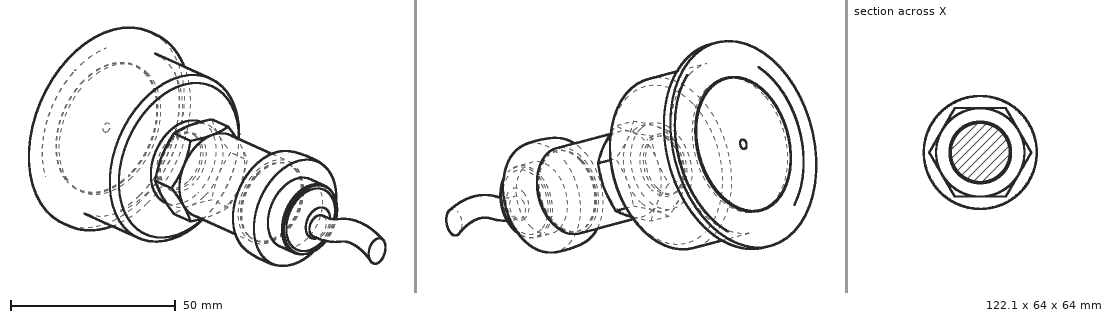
import cadquery as cq
import math


FLANGE_RADIUS = 32.0
FLANGE_RIM_END = 2.9
FLANGE_CONE_ANGLE = 20.0
FLANGE_RIM_FILLET = 0.7
FLANGE_ROOT_FILLET = 0.5
HOUSING_RADIUS = 26.6
HOUSING_END = 32.6
HOUSING_CHAMFER = 2.0

GASKET_GROOVE_RADIUS = 28.2
GASKET_TROUGH_HALF_WIDTH = 1.2
GASKET_LIP_WIDTH = 1.0
GASKET_WALL_ANGLE = 60.0

DIAPHRAGM_RADIUS = 20.9
DIAPHRAGM_THICKNESS = 1.5
DIAPHRAGM_RIM_CHAMFER = 0.2
CORRUGATION_COUNT = 4
FIRST_CORRUGATION_RADIUS = 7.6
LAST_CORRUGATION_RADIUS = 18.8
CORRUGATION_PITCH = (LAST_CORRUGATION_RADIUS - FIRST_CORRUGATION_RADIUS) / (CORRUGATION_COUNT - 1)
CORRUGATION_TROUGH_HALF_WIDTH = 1.0
CORRUGATION_LIP_WIDTH = 0.4
CORRUGATION_WALL_ANGLE = 30.0
DIMPLE_RADIUS = 1.5
DIMPLE_DEPTH = 0.4

NECK_RADIUS = 9.0
NECK_FLARE_RADIUS = 9.4
NECK_FLARE_START = 33.6
BODY_START = 34.7
BODY_RADIUS = 13.4
BODY_END = 74.1
HEX_START = 37.7
HEX_END = 47.6
HEX_CORNER_RADIUS = BODY_RADIUS / math.cos(math.radians(30))
HEX_CHAMFER_ANGLE = 30.0
BODY_NOSE_ROOT_RADIUS = 12.6
BODY_NOSE_STEP = 74.5
BODY_NOSE_RADIUS = 12.7

COLLAR_START = 75.0
COLLAR_END = 85.1
COLLAR_RADIUS = 17.2
COLLAR_FRONT_RADIUS = 16.6
COLLAR_BULGE_END = 79.9
COLLAR_FRONT_FILLET = 0.7
COLLAR_REAR_TAPER_LENGTH = 1.2
COLLAR_REAR_TAPER_DEPTH = 0.2

GLAND_RADIUS = 11.2
GLAND_TAPER_START = 91.5
GLAND_SHOULDER = 92.1
GLAND_SHOULDER_RADIUS = 11.0
DOME_BASE_RADIUS = 10.0
DOME_TIP_RADIUS = 5.0
DOME_MIDDLE = (93.8, 7.9)
GLAND_END = 95.4

CABLE_DIAMETER = 7.0
CABLE_END = 122.1
CABLE_OVERRUN = 2.5
CABLE_VALLEY = (96.7, -1.0)
CABLE_CREST = (112.6, 2.5)
CABLE_CREST_RADIUS = 18.2


def turn(profile):
    """Revolve a closed profile, drawn as (x, radius), about the X axis."""
    return profile.close().revolve(360, (0, 0, 0), (1, 0, 0))


def edges_at(x):
    """Selector for the circular edges whose plane lies at the given x."""
    half = 0.01
    reach = 2 * FLANGE_RADIUS
    return cq.selectors.BoxSelector((x - half, -reach, -reach), (x + half, reach, reach))


def face_groove(mean_radius, trough_half_width, lip_width, wall_angle):
    """Ring-shaped cutter for a round-bottomed groove with rounded lips in the face x = 0."""
    slope = math.radians(wall_angle)
    lip_arc = lip_width / math.sin(slope)
    trough_arc = trough_half_width / math.sin(slope)
    wall_depth = lip_arc * (1 - math.cos(slope))
    depth = wall_depth + trough_arc * (1 - math.cos(slope))
    half_width = trough_half_width + lip_width
    lip_middle_depth = lip_arc * (1 - math.cos(slope / 2))
    lip_middle = half_width - lip_arc * math.sin(slope / 2)
    profile = (
        cq.Workplane("XY")
        .moveTo(0, mean_radius + half_width)
        .threePointArc(
            (lip_middle_depth, mean_radius + lip_middle), (wall_depth, mean_radius + trough_half_width)
        )
        .threePointArc((depth, mean_radius), (wall_depth, mean_radius - trough_half_width))
        .threePointArc((lip_middle_depth, mean_radius - lip_middle), (0, mean_radius - half_width))
    )
    return turn(profile)


def make_housing():
    cone_length = (FLANGE_RADIUS - HOUSING_RADIUS) * math.tan(math.radians(FLANGE_CONE_ANGLE))
    cone_end = FLANGE_RIM_END + cone_length
    blank = turn(
        cq.Workplane("XY")
        .moveTo(0, 0)
        .lineTo(0, FLANGE_RADIUS)
        .lineTo(FLANGE_RIM_END, FLANGE_RADIUS)
        .lineTo(cone_end, HOUSING_RADIUS)
        .lineTo(HOUSING_END, HOUSING_RADIUS)
        .lineTo(HOUSING_END, 0)
    )
    housing = blank.edges(edges_at(HOUSING_END)).chamfer(HOUSING_CHAMFER)
    housing = housing.edges(edges_at(FLANGE_RIM_END)).fillet(FLANGE_RIM_FILLET)
    housing = housing.edges(edges_at(cone_end)).fillet(FLANGE_ROOT_FILLET)
    gasket_groove = face_groove(
        GASKET_GROOVE_RADIUS, GASKET_TROUGH_HALF_WIDTH, GASKET_LIP_WIDTH, GASKET_WALL_ANGLE
    )
    diaphragm_seat = cq.Workplane("YZ").circle(DIAPHRAGM_RADIUS).extrude(DIAPHRAGM_THICKNESS)
    return housing.cut(gasket_groove).cut(diaphragm_seat)


def make_dimple():
    """Spherical cap cutter for the dimple at the middle of the diaphragm."""
    sphere_radius = (DIMPLE_RADIUS**2 + DIMPLE_DEPTH**2) / (2 * DIMPLE_DEPTH)
    half_slope = math.asin(DIMPLE_RADIUS / sphere_radius) / 2
    cap_middle_depth = DIMPLE_DEPTH - sphere_radius * (1 - math.cos(half_slope))
    cap_middle = (cap_middle_depth, sphere_radius * math.sin(half_slope))
    return turn(
        cq.Workplane("XY")
        .moveTo(0, 0)
        .lineTo(0, DIMPLE_RADIUS)
        .threePointArc(cap_middle, (DIMPLE_DEPTH, 0))
    )


def make_diaphragm():
    diaphragm = cq.Workplane("YZ").circle(DIAPHRAGM_RADIUS).extrude(DIAPHRAGM_THICKNESS)
    diaphragm = diaphragm.edges(edges_at(0)).chamfer(DIAPHRAGM_RIM_CHAMFER)
    for ring in range(CORRUGATION_COUNT):
        corrugation = face_groove(
            FIRST_CORRUGATION_RADIUS + ring * CORRUGATION_PITCH,
            CORRUGATION_TROUGH_HALF_WIDTH,
            CORRUGATION_LIP_WIDTH,
            CORRUGATION_WALL_ANGLE,
        )
        diaphragm = diaphragm.cut(corrugation)
    return diaphragm.cut(make_dimple())


def make_hexagon():
    """Hexagon with two flats square to Z and its corners chamfered at both ends."""
    length = HEX_END - HEX_START
    prism = (
        cq.Workplane("YZ", origin=(HEX_START, 0, 0)).polygon(6, 2 * HEX_CORNER_RADIUS).extrude(length)
    )
    chamfer_length = (HEX_CORNER_RADIUS - BODY_RADIUS) * math.tan(math.radians(HEX_CHAMFER_ANGLE))
    chamfer_envelope = turn(
        cq.Workplane("XY")
        .moveTo(HEX_START, 0)
        .lineTo(HEX_START, BODY_RADIUS)
        .lineTo(HEX_START + chamfer_length, HEX_CORNER_RADIUS)
        .lineTo(HEX_END - chamfer_length, HEX_CORNER_RADIUS)
        .lineTo(HEX_END, BODY_RADIUS)
        .lineTo(HEX_END, 0)
    )
    return prism.intersect(chamfer_envelope)


def make_sensor_body():
    barrel = turn(
        cq.Workplane("XY")
        .moveTo(HOUSING_END, 0)
        .lineTo(HOUSING_END, NECK_RADIUS)
        .lineTo(NECK_FLARE_START, NECK_RADIUS)
        .lineTo(BODY_START, NECK_FLARE_RADIUS)
        .lineTo(BODY_START, BODY_RADIUS)
        .lineTo(BODY_END, BODY_RADIUS)
        .lineTo(BODY_END, BODY_NOSE_ROOT_RADIUS)
        .lineTo(BODY_NOSE_STEP, BODY_NOSE_ROOT_RADIUS)
        .lineTo(BODY_NOSE_STEP, BODY_NOSE_RADIUS)
        .lineTo(COLLAR_START, BODY_NOSE_RADIUS)
        .lineTo(COLLAR_START, 0)
    )
    return barrel.union(make_hexagon())


def make_collar():
    blank = turn(
        cq.Workplane("XY")
        .moveTo(COLLAR_END, 0)
        .lineTo(COLLAR_END, COLLAR_RADIUS - COLLAR_REAR_TAPER_DEPTH)
        .lineTo(COLLAR_END - COLLAR_REAR_TAPER_LENGTH, COLLAR_RADIUS)
        .lineTo(COLLAR_BULGE_END, COLLAR_RADIUS)
        .tangentArcPoint((COLLAR_START, COLLAR_FRONT_RADIUS), relative=False)
        .lineTo(COLLAR_START, 0)
    )
    return blank.edges(edges_at(COLLAR_START)).fillet(COLLAR_FRONT_FILLET)


def make_gland():
    return turn(
        cq.Workplane("XY")
        .moveTo(COLLAR_END, 0)
        .lineTo(COLLAR_END, GLAND_RADIUS)
        .lineTo(GLAND_TAPER_START, GLAND_RADIUS)
        .lineTo(GLAND_SHOULDER, GLAND_SHOULDER_RADIUS)
        .lineTo(GLAND_SHOULDER, DOME_BASE_RADIUS)
        .threePointArc(DOME_MIDDLE, (GLAND_END, DOME_TIP_RADIUS))
        .lineTo(GLAND_END, 0)
    )


def make_cable():
    """Cable along an S of two tangent arcs: up from the valley, then over the crest."""
    valley_x, valley_z = CABLE_VALLEY
    crest_x, crest_z = CABLE_CREST
    run = crest_x - valley_x
    rise = crest_z - valley_z
    radius_sum = (run**2 + rise**2) / (2 * rise)
    valley_share = 1 - CABLE_CREST_RADIUS / radius_sum
    inflection = (valley_x + valley_share * run, valley_z + valley_share * rise)
    sweep_end_x = CABLE_END + CABLE_OVERRUN
    crest_drop = CABLE_CREST_RADIUS - math.sqrt(CABLE_CREST_RADIUS**2 - (sweep_end_x - crest_x) ** 2)
    path = (
        cq.Workplane("XZ")
        .moveTo(GLAND_END, valley_z)
        .lineTo(valley_x, valley_z)
        .tangentArcPoint(inflection, relative=False)
        .tangentArcPoint((crest_x, crest_z), relative=False)
        .tangentArcPoint((sweep_end_x, crest_z - crest_drop), relative=False)
    )
    start = (GLAND_END, 0, valley_z)
    cable = cq.Workplane("YZ", origin=start).circle(CABLE_DIAMETER / 2).sweep(path)
    overrun = (
        cq.Workplane("YZ", origin=(CABLE_END, 0, 0))
        .rect(4 * CABLE_DIAMETER, 4 * CABLE_DIAMETER)
        .extrude(2 * CABLE_OVERRUN)
    )
    return cable.cut(overrun)


housing = make_housing()
diaphragm = make_diaphragm()
sensor_body = make_sensor_body()
collar = make_collar()
gland = make_gland()
cable = make_cable()

result = cq.Compound.makeCompound(
    [body.solids().val() for body in (housing, diaphragm, sensor_body, collar, gland, cable)]
)